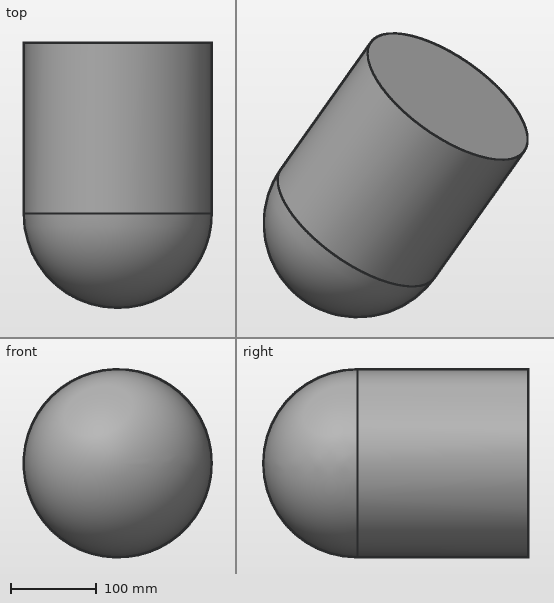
import cadquery as cq

total_length = 310.0
radius = 110.0
barrel_length = total_length - radius


def make_barrel():
    """Solid cylinder along Y, from the joint plane at Y = 0 to the flat end."""
    profile = cq.Workplane("XZ").circle(radius)
    return profile.extrude(-barrel_length)


def make_dome():
    """Hemisphere on the joint plane, bulging toward -Y."""
    arc_middle = radius * 0.5 ** 0.5
    half_profile = (
        cq.Workplane("XY")
        .lineTo(radius, 0)
        .threePointArc((arc_middle, -arc_middle), (0, -radius))
        .close()
    )
    return half_profile.revolve(360, (0, 0), (0, 1))


barrel = make_barrel()
dome = make_dome()

result = cq.Compound.makeCompound([barrel.val(), dome.val()])